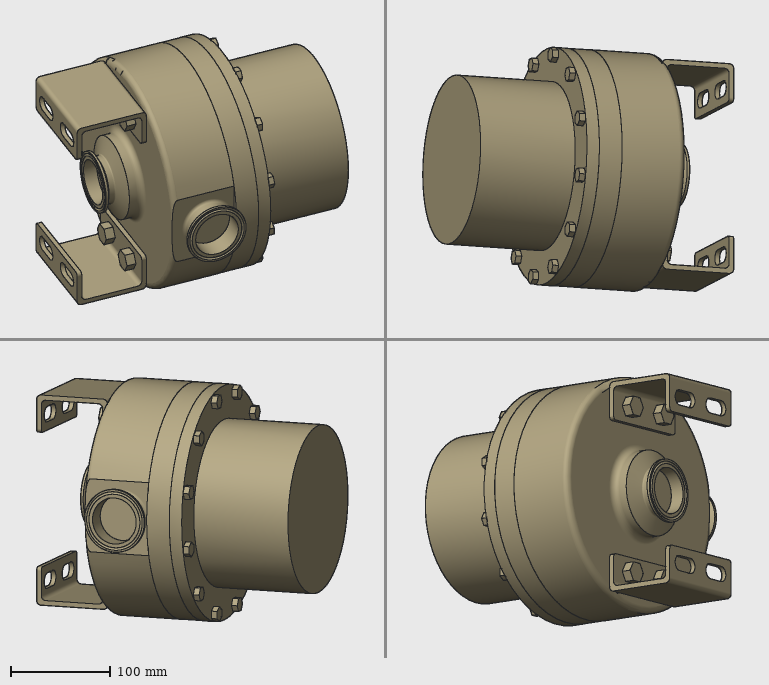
import cadquery as cq
import math


casing_radius = 120.3
casing_depth = 68.5
casing_edge_radius = 6.3
outlet_flat_x = 114.3
ring_step = 0.15
ring_thickness = 24.5
plate_thickness = 13.5
motor_radius = 85.5
motor_length = 101.5
ring_back_y = casing_depth + ring_thickness
plate_back_y = ring_back_y + plate_thickness

pipe_radius = 25.3
bore_radius = 23.5
ferrule_radius = 32.0
ferrule_rim = 2.8
ferrule_taper = 3.5
groove_radius = 28.7
groove_section_radius = 1.28

inlet_length = 36.0
hub_radius = 43.8
hub_root_fillet = 6.8
hub_shoulder = 15.5
hub_cone_end = 22.7
hub_neck_fillet = 1.5
inlet_bore_depth = 14.8

outlet_end_x = 136.2
outlet_y = 39.8
outlet_root_fillet = 3.0

bracket_width = 101.8
bracket_depth = 76.5
bracket_top_z = 107.8
bracket_leg_height = 39.0
bracket_thickness = 5.0
bend_radius = 4.8
leg_corner_radius = 4.0
slot_length = 32.7
slot_height = 15.5
slot_spacing = 51.2
slot_z = 85.3

bracket_bolt_flats = 19.0
bracket_bolt_height = 10.0
plate_bolt_flats = 13.0
plate_bolt_height = 6.3
plate_bolt_circle = 112.5
plate_bolt_count = 12


def disc(radius, start_y, length):
    """Cylinder on the pump axis, growing towards +Y."""
    return cq.Workplane("XZ", origin=(0, start_y, 0)).circle(radius).extrude(-length)


def hex_head(flats, height, center, turn=0):
    """Hexagon head growing towards +Y, with two corners along X before it is turned."""
    corner_diameter = flats / math.cos(math.pi / 6)
    head = cq.Workplane("XZ").polygon(6, corner_diameter).extrude(-height)
    return head.rotate((0, 0, 0), (0, 1, 0), turn).translate(center)


def make_body():
    casing = disc(casing_radius, 0, casing_depth).faces("<Y").edges().fillet(casing_edge_radius)
    trim = cq.Workplane("XY").box(
        casing_radius, casing_depth, 2 * casing_radius, centered=(False, False, True)
    )
    casing = casing.cut(trim.translate((outlet_flat_x, 0, 0)))
    ring = disc(casing_radius - ring_step, casing_depth, ring_thickness)
    plate = disc(casing_radius, ring_back_y, plate_thickness)
    motor = disc(motor_radius, plate_back_y, motor_length)
    return casing.union(ring).union(plate).union(motor)


def add_ferrule(profile, length):
    """Continue a (radius, height) outline up the pipe and round the ferrule to the axis."""
    rim_start = length - ferrule_rim
    return (
        profile.lineTo(pipe_radius, rim_start - ferrule_taper)
        .lineTo(ferrule_radius, rim_start)
        .lineTo(ferrule_radius, length)
        .lineTo(0, length)
        .close()
        .revolve(360, (0, 0, 0), (0, 1, 0))
    )


def cut_ferrule_face(nozzle, length, bore_depth):
    """Bore the nozzle and cut the round-bottomed gasket groove in its end face."""
    end_face = cq.Workplane("XZ", origin=(0, length, 0))
    bore = end_face.circle(bore_radius).extrude(bore_depth)
    groove = (
        cq.Workplane("XY", origin=(groove_radius, length, 0))
        .circle(groove_section_radius)
        .revolve(360, (-groove_radius, 0, 0), (-groove_radius, 1, 0))
    )
    return nozzle.cut(bore).cut(groove)


def make_inlet():
    root_mid = hub_root_fillet * (1 - math.sqrt(0.5))
    profile = (
        cq.Workplane("XY")
        .lineTo(hub_radius + hub_root_fillet, 0)
        .threePointArc((hub_radius + root_mid, root_mid), (hub_radius, hub_root_fillet))
        .lineTo(hub_radius, hub_shoulder)
        .lineTo(pipe_radius, hub_cone_end)
    )
    hub = add_ferrule(profile, inlet_length)
    neck_foot = cq.selectors.NearestToPointSelector((0, hub_cone_end, 0))
    hub = hub.edges(neck_foot).fillet(hub_neck_fillet)
    inlet = cut_ferrule_face(hub, inlet_length, inlet_bore_depth)
    return inlet.rotate((0, 0, 0), (0, 0, 1), 180)


def make_outlet():
    length = outlet_end_x - outlet_flat_x
    root_mid = outlet_root_fillet * (1 - math.sqrt(0.5))
    profile = (
        cq.Workplane("XY")
        .lineTo(pipe_radius + outlet_root_fillet, 0)
        .threePointArc((pipe_radius + root_mid, root_mid), (pipe_radius, outlet_root_fillet))
    )
    outlet = cut_ferrule_face(add_ferrule(profile, length), length, length)
    return outlet.rotate((0, 0, 0), (0, 0, 1), -90).translate((outlet_flat_x, outlet_y, 0))


def make_bracket():
    """Upper bracket: a bent strip, open downwards, bolted to the casing front."""
    middle = (0, -bracket_depth / 2, bracket_top_z - bracket_leg_height / 2)
    outer = cq.Workplane("XY").box(bracket_width, bracket_depth, bracket_leg_height)
    outer = outer.edges("|X and >Z").fillet(bend_radius)
    outer = outer.edges("|Y and <Z").fillet(leg_corner_radius)
    inner = cq.Workplane("XY").box(
        bracket_width, bracket_depth - 2 * bracket_thickness, bracket_leg_height
    )
    inner = inner.edges("|X and >Z").fillet(bend_radius)
    bracket = outer.cut(inner.translate((0, 0, -bracket_thickness))).translate(middle)

    slots = (
        cq.Workplane("XZ", origin=(0, -bracket_depth, slot_z))
        .rarray(slot_spacing, 2.8, 2, 1)
        .slot2D(slot_length, slot_height)
        .extrude(-bracket_thickness)
    )
    bracket = bracket.cut(slots)
    head_front_y = -bracket_thickness - bracket_bolt_height
    for x in (-slot_spacing / 2, slot_spacing / 2):
        head = hex_head(bracket_bolt_flats, bracket_bolt_height, (x, head_front_y, slot_z))
        bracket = bracket.union(head)
    return bracket


def add_plate_bolts(body):
    pitch = 360 / plate_bolt_count
    seed = hex_head(plate_bolt_flats, plate_bolt_height, (plate_bolt_circle, plate_back_y, 0), pitch / 2)
    for index in range(plate_bolt_count):
        body = body.union(seed.rotate((0, 0, 0), (0, 1, 0), (index + 0.5) * pitch))
    return body


upper_bracket = make_bracket()
lower_bracket = upper_bracket.mirror("XY")
pump = make_body().union(make_inlet()).union(make_outlet())
result = add_plate_bolts(pump.union(upper_bracket).union(lower_bracket))